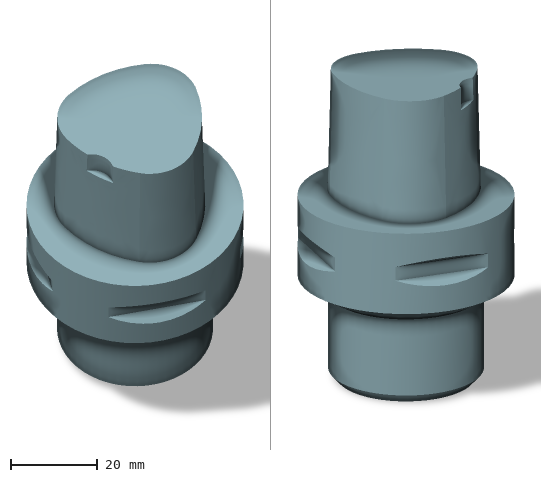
import cadquery as cq
import math

total_height = 75.0
flange_top = 45.0
flange_height = 19.9
shank_chamfer_height = 2.25

flange_radius = 50.0 / 2
shank_radius = 36.0 / 2
shank_chamfer_width = 2.0
cone_angle = math.radians(30)

lobe_radius = 11.55
lobe_center_distance = 7.1
side_distance = 16.2
taper_inset = 0.75

groove_count = 4
groove_z = 35.0
groove_floor_height = 3.4
groove_mouth_height = 6.8
groove_floor_distance = 22.2

notch_radius = 5.0
notch_bottom_distance = 13.9
notch_height = 5.55


def polar(radius, angle):
    return cq.Vector(radius * math.cos(angle), radius * math.sin(angle))


def lobed_outline(inset):
    """Tangent lobe and side arcs, shifted inward by inset."""
    lobe_offset = lobe_center_distance * math.sin(math.radians(60))
    lobe_to_side = side_distance - lobe_center_distance * math.cos(math.radians(60))
    side_radius = (lobe_offset**2 + lobe_to_side**2 - lobe_radius**2) / (
        2 * (lobe_to_side - lobe_radius)
    )
    half_side_angle = math.atan2(lobe_offset, side_radius - lobe_to_side)
    half_lobe_angle = math.radians(60) - half_side_angle

    edges = []
    for index in range(3):
        lobe_angle = math.radians(90 + 120 * index)
        side_angle = lobe_angle + math.radians(60)
        lobe_center = polar(lobe_center_distance, lobe_angle)
        next_center = polar(lobe_center_distance, lobe_angle + math.radians(120))
        radius = lobe_radius - inset
        start = lobe_center + polar(radius, lobe_angle - half_lobe_angle)
        crest = lobe_center + polar(radius, lobe_angle)
        end = lobe_center + polar(radius, lobe_angle + half_lobe_angle)
        side_middle = polar(side_distance - inset, side_angle)
        side_end = next_center + polar(radius, side_angle + half_side_angle)
        edges.append(cq.Edge.makeThreePointArc(start, crest, end))
        edges.append(cq.Edge.makeThreePointArc(end, side_middle, side_end))
    return cq.Wire.assembleEdges(edges)


def round_body():
    flange_bottom = flange_top - flange_height
    cone_height = (flange_radius - shank_radius) * math.tan(cone_angle)
    return (
        cq.Workplane("XZ")
        .moveTo(0, 0)
        .lineTo(shank_radius - shank_chamfer_width, 0)
        .lineTo(shank_radius, shank_chamfer_height)
        .lineTo(shank_radius, flange_bottom - cone_height)
        .lineTo(flange_radius, flange_bottom)
        .lineTo(flange_radius, flange_top)
        .lineTo(0, flange_top)
        .close()
        .revolve(360, (0, 0), (0, 1))
    )


def tapered_stub():
    base = lobed_outline(0).translate(cq.Vector(0, 0, flange_top))
    top = lobed_outline(taper_inset).translate(cq.Vector(0, 0, total_height))
    return cq.Workplane(cq.Solid.makeLoft([base, top], True))


def gripper_groove(angle):
    """Straight groove with a flat floor and sloping walls, cut across the flange."""
    half_floor = groove_floor_height / 2
    half_mouth = groove_mouth_height / 2
    return (
        cq.Workplane("XZ")
        .polyline(
            [
                (groove_floor_distance, groove_z - half_floor),
                (flange_radius, groove_z - half_mouth),
                (flange_radius, groove_z + half_mouth),
                (groove_floor_distance, groove_z + half_floor),
            ]
        )
        .close()
        .extrude(flange_radius, both=True)
        .rotate((0, 0, 0), (0, 0, 1), angle)
    )


def top_notch():
    return (
        cq.Workplane("XY", origin=(0, 0, total_height - notch_height))
        .center(0, -(notch_bottom_distance + notch_radius))
        .circle(notch_radius)
        .extrude(notch_height)
    )


result = round_body().union(tapered_stub()).cut(top_notch())
groove_spacing = 360 / groove_count
for groove_index in range(groove_count):
    result = result.cut(gripper_groove((groove_index + 0.5) * groove_spacing))